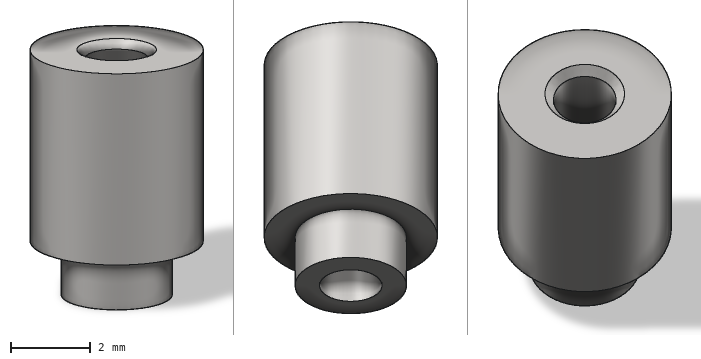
import cadquery as cq

total_height = 6.4
body_diameter = 4.35
spigot_diameter = 2.8
spigot_height = 1.4
bore_diameter = 1.57
countersink_diameter = 2.0

body_height = total_height - spigot_height
countersink_size = (countersink_diameter - bore_diameter) / 2

spigot = cq.Workplane("XY").circle(spigot_diameter / 2).extrude(spigot_height)
body = (
    cq.Workplane("XY")
    .workplane(offset=spigot_height)
    .circle(body_diameter / 2)
    .extrude(body_height)
)

bore = cq.Workplane("XY").circle(bore_diameter / 2).extrude(total_height)
sleeve = spigot.union(body).cut(bore)

bore_rim = cq.selectors.RadiusNthSelector(0)
result = sleeve.faces(">Z").edges(bore_rim).chamfer(countersink_size)